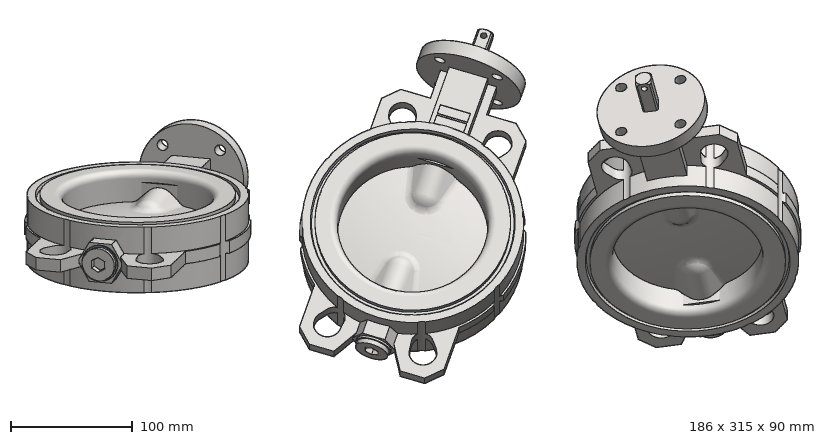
import cadquery as cq
import math


body_radius = 91.0
body_height = 56.5
liner_height = 58.3
liner_radius = 80.3
bore_radius = 61.7
lip_radius = 6.3
groove_top_radius = 84.0
groove_floor_radius = 83.2
groove_depth = 3.0

plate_thickness = 10.7
plate_radius = 93.0
lug_half_width = 62.5
lug_end = 121.3
lug_chamfer = 12.5
notch_half_width = 28.7
notch_angle = 60.0

slot_count = 8
slot_inner_radius = 9.0
slot_inner_place = 99.5
slot_outer_radius = 11.3
slot_outer_place = 107.7

neck_width = 33.5
neck_web_width = 48.5
flange_top = 160.3
flange_thickness = 12.5
flange_radius = 45.0
flange_bolt_circle = 70.0
flange_hole_diameter = 9.0
stem_top = 193.7
stem_width = 13.0
stem_turned_radius = 8.2
stem_chamfer = 1.5
stem_hole_diameter = 5.0
stem_hole_drop = 5.7

nameplate_width = 25.8
nameplate_length = 8.2
nameplate_depth = 0.5
nameplate_places = (99.2, 109.0)

hex_end = 103.3
collar_radius = 15.0
collar_length = 2.0
plug_radius = 14.0
plug_end = 109.3
socket_width = 11.0
socket_depth = 6.3

disc_edge_half = 2.8
disc_centre_half = 7.0
hub_crown_radius = 14.2
hub_crown_height = 13.5
hub_flank_angle = 42.0
hub_foot_height = -3.0
hub_shoulder = 34.3
hub_tilt = 6.0
hub_fillet = 7.5
pad_half_width = 15.0
pad_half_height = 19.5

root_radius = (bore_radius + liner_radius) / 2
hex_corner_ratio = 2 / math.sqrt(3)


def cylinder_along_y(radius, start, end):
    """Round bar on the stem axis from Y = start to Y = end."""
    return cq.Workplane("XZ", origin=(0, start, 0)).circle(radius).extrude(start - end)


def block_along_y(width, height, start, end):
    """Rectangular bar on the stem axis from Y = start to Y = end."""
    return cq.Workplane("XZ", origin=(0, start, 0)).rect(width, height).extrude(start - end)


def make_body():
    """Body ring and liner, open through the bore with a rounded lip at each end."""
    body = cq.Workplane("XY").circle(body_radius).extrude(body_height / 2, both=True)
    liner = cq.Workplane("XY").circle(liner_radius).extrude(liner_height / 2, both=True)
    bore = cq.Workplane("XY").circle(bore_radius).extrude(liner_height / 2, both=True)
    ring = body.union(liner).cut(bore)
    return ring.edges(cq.selectors.RadiusNthSelector(0)).fillet(lip_radius)


def make_face_groove():
    """Ring groove between liner and body on the upper face."""
    top = body_height / 2
    floor = top - groove_depth
    return (
        cq.Workplane("XZ")
        .polyline([
            (liner_radius, floor),
            (groove_floor_radius, floor),
            (groove_top_radius, top),
            (liner_radius, top),
        ])
        .close()
        .revolve(360, (0, 0, 0), (0, 1, 0))
    )


def make_plate():
    """Round plate with a chamfered lug rectangle and a V notch around the plug."""
    disc = cq.Workplane("XY").circle(plate_radius).extrude(plate_thickness / 2, both=True)
    lugs = (
        cq.Workplane("XY")
        .rect(2 * lug_half_width, 2 * lug_end)
        .extrude(plate_thickness / 2, both=True)
        .edges("|Z")
        .chamfer(lug_chamfer)
    )
    notch_height = notch_half_width * math.tan(math.radians(notch_angle))
    notch = (
        cq.Workplane("XY")
        .polyline([
            (-notch_half_width, -lug_end),
            (notch_half_width, -lug_end),
            (0, notch_height - lug_end),
        ])
        .close()
        .extrude(plate_thickness, both=True)
    )
    opening = cq.Workplane("XY").circle(root_radius).extrude(plate_thickness, both=True)
    return disc.union(lugs).cut(notch).cut(opening)


def make_bolt_slots():
    """Slots outlined by two unequal circles and their common tangents."""
    spread = slot_outer_place - slot_inner_place
    tilt = math.asin((slot_outer_radius - slot_inner_radius) / spread)

    def tangent_point(place, radius, side):
        return (place - radius * math.sin(tilt), side * radius * math.cos(tilt))

    slot = (
        cq.Workplane("XY")
        .moveTo(*tangent_point(slot_inner_place, slot_inner_radius, -1))
        .lineTo(*tangent_point(slot_outer_place, slot_outer_radius, -1))
        .threePointArc(
            (slot_outer_place + slot_outer_radius, 0),
            tangent_point(slot_outer_place, slot_outer_radius, 1),
        )
        .lineTo(*tangent_point(slot_inner_place, slot_inner_radius, 1))
        .threePointArc(
            (slot_inner_place - slot_inner_radius, 0),
            tangent_point(slot_inner_place, slot_inner_radius, -1),
        )
        .close()
        .extrude(liner_height, both=True)
    )
    pitch = 360 / slot_count
    slots = cq.Workplane("XY")
    for index in range(slot_count):
        slots = slots.union(slot.rotate((0, 0, 0), (0, 0, 1), (index + 0.5) * pitch))
    return slots


def make_neck():
    """Square neck with a thin web on each side, up to the actuator flange."""
    start = root_radius
    end = flange_top - flange_thickness
    neck = block_along_y(neck_width, neck_width, start, end)
    web = block_along_y(neck_web_width, plate_thickness, start, end)
    recesses = (
        cq.Workplane("XY", origin=(0, 0, neck_width / 2 - nameplate_depth))
        .pushPoints([(0, place) for place in nameplate_places])
        .rect(nameplate_width, nameplate_length)
        .extrude(2 * nameplate_depth)
    )
    return neck.union(web).cut(recesses)


def make_flange():
    """Round actuator flange with four bolt holes."""
    hole_offset = flange_bolt_circle / math.sqrt(2)
    holes = (
        cq.Workplane("XZ", origin=(0, flange_top, 0))
        .rect(hole_offset, hole_offset, forConstruction=True)
        .vertices()
        .circle(flange_hole_diameter / 2)
        .extrude(flange_thickness)
    )
    return cylinder_along_y(flange_radius, flange_top - flange_thickness, flange_top).cut(holes)


def make_stem():
    """Square drive end with turned corners, a chamfered tip and a cross hole near the tip."""
    start = flange_top - flange_thickness
    hole = (
        cq.Workplane("XY")
        .center(0, stem_top - stem_hole_drop)
        .circle(stem_hole_diameter / 2)
        .extrude(stem_width, both=True)
    )
    turned_bar = cylinder_along_y(stem_turned_radius, start, stem_top).faces(">Y").chamfer(stem_chamfer)
    return block_along_y(stem_width, stem_width, start, stem_top).intersect(turned_bar).cut(hole)


def make_plug():
    """Hexagonal boss below the body, closed by a round plug with a hex socket."""
    start = -root_radius
    hexagon = (
        cq.Workplane("XZ", origin=(0, start, 0))
        .polygon(6, neck_width * hex_corner_ratio)
        .extrude(hex_end + start)
    )
    collar = cylinder_along_y(collar_radius, -hex_end - collar_length, -hex_end)
    cap = cylinder_along_y(plug_radius, -plug_end, -hex_end)
    socket = (
        cq.Workplane("XZ", origin=(0, -plug_end, 0))
        .transformed(rotate=(0, 0, 30))
        .polygon(6, socket_width * hex_corner_ratio)
        .extrude(-socket_depth)
    )
    return hexagon.union(collar).union(cap).cut(socket)


def make_hub():
    """Hub on the upper face at +Y: a crowned ridge with sloped flanks and a round nose."""
    angle = math.radians(hub_flank_angle)
    flank_x = hub_crown_radius * math.sin(angle)
    flank_z = hub_crown_height - hub_crown_radius * (1 - math.cos(angle))
    foot_x = flank_x + (flank_z - hub_foot_height) / math.tan(angle)
    half_arc_x = hub_crown_radius * math.sin(angle / 2)
    half_arc_z = hub_crown_height - hub_crown_radius * (1 - math.cos(angle / 2))
    plane = cq.Workplane("XZ", origin=(0, hub_shoulder, 0)).transformed(rotate=(hub_tilt, 0, 0))

    ridge = (
        plane.moveTo(-foot_x, hub_foot_height)
        .lineTo(-flank_x, flank_z)
        .threePointArc((0, hub_crown_height), (flank_x, flank_z))
        .lineTo(foot_x, hub_foot_height)
        .close()
        .extrude(-2 * (root_radius - hub_shoulder))
    )
    nose = (
        plane.moveTo(0, hub_foot_height)
        .lineTo(0, hub_crown_height)
        .threePointArc((-half_arc_x, half_arc_z), (-flank_x, flank_z))
        .lineTo(-foot_x, hub_foot_height)
        .close()
        .revolve(180, (0, 0, 0), (0, 1, 0))
    )
    envelope = cq.Workplane("XY").circle(root_radius).extrude(liner_height / 2)
    return ridge.union(nose).intersect(envelope)


def make_pad():
    """Flat seat on the bore wall where the +Y hub meets the liner."""
    wall = math.sqrt(bore_radius**2 - pad_half_width**2)
    return block_along_y(2 * pad_half_width, 2 * pad_half_height, wall, root_radius)


def make_disc():
    """Disc domed on both faces, with two hubs blended into each face."""
    rim_half = disc_centre_half - (disc_centre_half - disc_edge_half) * (root_radius / bore_radius) ** 2
    mid_half = disc_centre_half - (disc_centre_half - rim_half) / 4
    disc = (
        cq.Workplane("XZ")
        .moveTo(0, 0)
        .lineTo(0, disc_centre_half)
        .threePointArc((root_radius / 2, mid_half), (root_radius, rim_half))
        .lineTo(root_radius, 0)
        .close()
        .revolve(360, (0, 0, 0), (0, 1, 0))
    )
    hub = make_hub()
    half = disc.union(hub).union(hub.mirror("XZ"))
    below_crowns = cq.selectors.BoxSelector(
        (-root_radius, -root_radius, 0), (root_radius, root_radius, disc_centre_half)
    )
    half = half.edges("%BSPLINE").edges(below_crowns).fillet(hub_fillet)
    return half.union(half.mirror("XY"))


disc = make_disc()
pad = make_pad()
face_groove = make_face_groove()

result = (
    make_body()
    .union(make_plate())
    .union(make_neck())
    .union(make_plug())
    .cut(make_bolt_slots())
    .cut(face_groove)
    .cut(face_groove.mirror("XY"))
    .union(make_flange())
    .union(make_stem())
    .union(pad)
    .union(pad.mirror("XZ"))
    .union(disc)
)